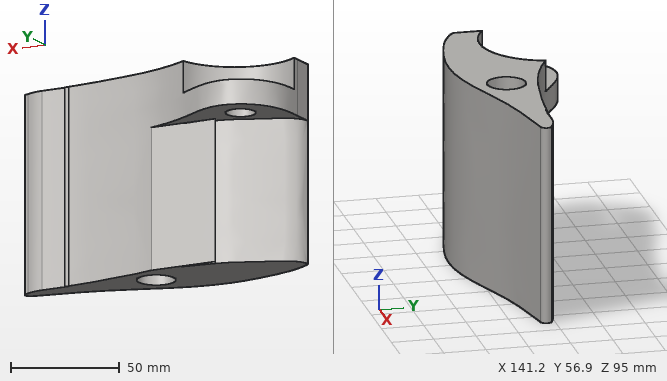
import cadquery as cq

total_height = 95.0
flange_height = 27.0
recess_depth = 15.1
flange_bottom = total_height - flange_height
recess_floor = total_height - recess_depth

lug_hole_diameter = 14.0
lug_hole_center = (20.6, 40.8)
pivot_hole_diameter = 18.0
pivot_hole_center = (75.1, 20.7)

recess_radius = 30.9
recess_center = (17.6, 52.5)

left_corner = (0, 13.3)
left_edge_top = (0, 24)
tip_start = (130.1, 29.5)
tip_shoulder = (135.2, 28.7)
tip_top = (138.6, 27.2)
tip_end = (141.2, 24.3)
tip_bottom = (138.3, 21.7)
lug_peak = (22.3, 56.9)
back_points = [
    (2.1, 41.2),
    (8.8, 51.4),
    lug_peak,
    (33.6, 54.0),
    (47.5, 45.9),
    (66.8, 37.7),
    (79.5, 34.6),
    (92.3, 32.7),
    (105.0, 30.9),
    (117.7, 29.9),
]
belly_points = [
    (110.1, 16.1),
    (92.3, 10.6),
    (69.3, 3.0),
    (44.6, 0),
    (26.0, 2.5),
    (13.1, 5.9),
    (5.5, 9.3),
]

nose_points = [(1.0, 17.1), (2.8, 19.6)]
blade_back_points = [(12.3, 25.0), (23.9, 29.6), (37.4, 33.9), (52.2, 36.4)]
blade_back_end = (70.6, 37.0)

cut_margin = 7

RIGHT = (1, 0)
UP = (0, 1)
BELLY_START = (-1, -0.2)
BELLY_END = (-0.7, 0.7)


def full_profile():
    """Whole outline of the flange, extruded over the full height."""
    return (
        cq.Workplane("XY")
        .moveTo(*left_corner)
        .lineTo(*left_edge_top)
        .spline(back_points + [tip_start], tangents=[UP, RIGHT], includeCurrent=True)
        .threePointArc(tip_shoulder, tip_top)
        .threePointArc(tip_end, tip_bottom)
        .spline(belly_points + [left_corner], tangents=[BELLY_START, BELLY_END], includeCurrent=True)
        .close()
        .extrude(total_height)
    )


def space_behind_blade():
    """Space below the lug, bounded by the back of the blade."""
    far_left = left_corner[0] - cut_margin
    far_back = lug_peak[1] + cut_margin
    return (
        cq.Workplane("XY")
        .moveTo(*left_corner)
        .spline(
            nose_points + blade_back_points + [blade_back_end],
            tangents=[UP, RIGHT],
            includeCurrent=True,
        )
        .lineTo(blade_back_end[0], far_back)
        .lineTo(far_left, far_back)
        .lineTo(far_left, left_corner[1])
        .close()
        .extrude(flange_bottom)
    )


def upright_cylinder(center, diameter, bottom):
    """Cylinder from the given height up to the top face."""
    return (
        cq.Workplane("XY", origin=(*center, bottom))
        .circle(diameter / 2)
        .extrude(total_height - bottom)
    )


result = (
    full_profile()
    .cut(space_behind_blade())
    .cut(upright_cylinder(recess_center, 2 * recess_radius, recess_floor))
    .cut(upright_cylinder(lug_hole_center, lug_hole_diameter, 0))
    .cut(upright_cylinder(pivot_hole_center, pivot_hole_diameter, 0))
)